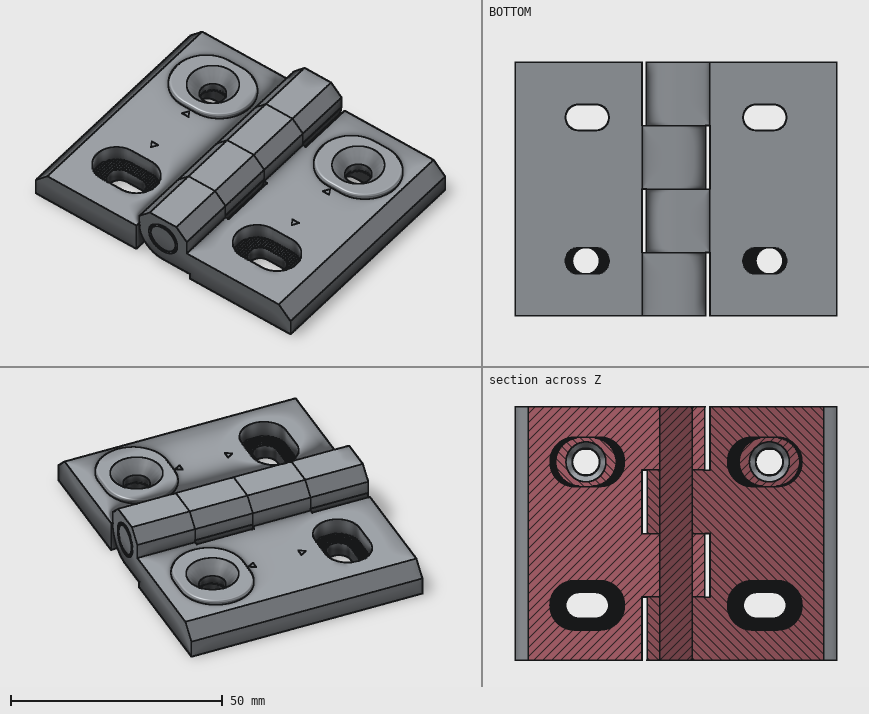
import cadquery as cq
import math


HINGE_LENGTH = 76.0
HINGE_WIDTH = 60.0
HINGE_HEIGHT = 15.0
LEAF_THICKNESS = 8.0
LEAF_CHAMFER = 3.5
LEAF_INNER_X = 8.0
HALF_LENGTH = HINGE_LENGTH / 2
HALF_WIDTH = HINGE_WIDTH / 2

KNUCKLE_COUNT = 4
KNUCKLE_LENGTH = HINGE_WIDTH / KNUCKLE_COUNT
KNUCKLE_HALF_WIDTH = 7.1
KNUCKLE_RADIUS = 7.0
KNUCKLE_CHAMFER = 3.1
KNUCKLE_BOTTOM_Z = 1.5
PIN_Z = KNUCKLE_BOTTOM_Z + KNUCKLE_RADIUS

PIN_RADIUS = 3.95
PIN_CHAMFER = 0.3
PIN_HOLE_CHAMFER = 0.3

POCKET_X = 21.0
POCKET_Y = 16.95
POCKET_LENGTH = 17.5
POCKET_WIDTH = 11.55
POCKET_FLOOR_Z = 3.5
SLOT_LENGTH = 10.2
SLOT_WIDTH = 6.1

TOOTH_PITCH = 0.7
TOOTH_HEIGHT = TOOTH_PITCH / 2
TOOTH_COUNT = math.ceil(POCKET_LENGTH / TOOTH_PITCH)

MARK_TIP_Y = 7.45
MARK_BASE_Y = 5.85
MARK_HALF_WIDTH = 1.0
MARK_DEPTH = 0.1

FLANGE_LENGTH = 22.0
FLANGE_WIDTH = 18.0
FLANGE_HEIGHT = 1.1
FLANGE_FILLET = 0.9
PLUG_LENGTH = 14.45
SCREW_HOLE_RADIUS = 3.2
COUNTERSINK_RADIUS = 6.2
COUNTERSINK_DEPTH = COUNTERSINK_RADIUS - SCREW_HOLE_RADIUS
LEFT_BUSHING_SHIFT = -0.3
RIGHT_BUSHING_SHIFT = LEFT_BUSHING_SHIFT + 2 * TOOTH_PITCH

LEFT = -1
RIGHT = 1


def along_y(profile, y_start, length):
    """Extrude an XZ profile toward +Y from y_start."""
    return profile.extrude(-length).translate((0, y_start, 0))


def stadium(center_x, center_y, z_bottom, length, width, height):
    return (
        cq.Workplane("XY", origin=(center_x, center_y, z_bottom))
        .slot2D(length, width)
        .extrude(height)
    )


def plate(side):
    """Leaf without knuckles: a slab with one chamfered outer edge."""
    profile = (
        cq.Workplane("XZ")
        .moveTo(side * LEAF_INNER_X, 0)
        .lineTo(side * HALF_LENGTH, 0)
        .lineTo(side * HALF_LENGTH, LEAF_THICKNESS - LEAF_CHAMFER)
        .lineTo(side * (HALF_LENGTH - LEAF_CHAMFER), LEAF_THICKNESS)
        .lineTo(side * LEAF_INNER_X, LEAF_THICKNESS)
        .close()
    )
    return along_y(profile, -HALF_WIDTH, HINGE_WIDTH)


def knuckle(side, index):
    """Knuckle with the web that joins it to its leaf; index counts from the -Y end."""
    arc_offset = KNUCKLE_RADIUS * math.sqrt(0.5)
    shoulder_z = HINGE_HEIGHT - KNUCKLE_CHAMFER
    top_half_width = KNUCKLE_HALF_WIDTH - KNUCKLE_CHAMFER
    profile = (
        cq.Workplane("XZ")
        .moveTo(side * LEAF_INNER_X, KNUCKLE_BOTTOM_Z)
        .lineTo(side * LEAF_INNER_X, LEAF_THICKNESS)
        .lineTo(side * KNUCKLE_HALF_WIDTH, LEAF_THICKNESS)
        .lineTo(side * KNUCKLE_HALF_WIDTH, shoulder_z)
        .lineTo(side * top_half_width, HINGE_HEIGHT)
        .lineTo(-side * top_half_width, HINGE_HEIGHT)
        .lineTo(-side * KNUCKLE_HALF_WIDTH, shoulder_z)
        .lineTo(-side * KNUCKLE_HALF_WIDTH, PIN_Z)
        .lineTo(-side * KNUCKLE_RADIUS, PIN_Z)
        .threePointArc((-side * arc_offset, PIN_Z - arc_offset), (0, KNUCKLE_BOTTOM_Z))
        .close()
    )
    return along_y(profile, -HALF_WIDTH + index * KNUCKLE_LENGTH, KNUCKLE_LENGTH)


def pin_bore():
    """Solid of the pin hole, widened by a chamfer at both ends of the hinge."""
    wide_radius = PIN_RADIUS + PIN_HOLE_CHAMFER
    inner_y = HALF_WIDTH - PIN_HOLE_CHAMFER
    return (
        cq.Workplane("XY")
        .moveTo(0, -HALF_WIDTH)
        .lineTo(wide_radius, -HALF_WIDTH)
        .lineTo(PIN_RADIUS, -inner_y)
        .lineTo(PIN_RADIUS, inner_y)
        .lineTo(wide_radius, HALF_WIDTH)
        .lineTo(0, HALF_WIDTH)
        .close()
        .revolve(360, (0, 0, 0), (0, 1, 0))
        .translate((0, 0, PIN_Z))
    )


def floor_teeth(pocket_x, pocket_y):
    """Row of toothed ridges along Y, standing on the floor of a pocket."""
    first_x = pocket_x - TOOTH_COUNT * TOOTH_PITCH / 2
    profile = cq.Workplane("XZ").moveTo(first_x, 0).lineTo(first_x, POCKET_FLOOR_Z)
    for index in range(TOOTH_COUNT):
        tooth_x = first_x + index * TOOTH_PITCH
        profile = profile.lineTo(tooth_x + TOOTH_PITCH / 2, POCKET_FLOOR_Z + TOOTH_HEIGHT)
        profile = profile.lineTo(tooth_x + TOOTH_PITCH, POCKET_FLOOR_Z)
    profile = profile.lineTo(first_x + TOOTH_COUNT * TOOTH_PITCH, 0).close()
    return along_y(profile, pocket_y - POCKET_WIDTH, 2 * POCKET_WIDTH)


def pocket(pocket_x, pocket_y):
    """Material removed by one toothed pocket and the slot through its floor."""
    depth = LEAF_THICKNESS - POCKET_FLOOR_Z
    recess = stadium(pocket_x, pocket_y, POCKET_FLOOR_Z, POCKET_LENGTH, POCKET_WIDTH, depth)
    recess = recess.cut(floor_teeth(pocket_x, pocket_y))
    slot = stadium(pocket_x, pocket_y, 0, SLOT_LENGTH, SLOT_WIDTH, LEAF_THICKNESS)
    return recess.union(slot)


def mark(center_x, y_direction):
    """Engraved triangle that points away from the middle of the leaf."""
    return (
        cq.Workplane("XY", origin=(center_x, 0, LEAF_THICKNESS))
        .moveTo(-MARK_HALF_WIDTH, y_direction * MARK_BASE_Y)
        .lineTo(MARK_HALF_WIDTH, y_direction * MARK_BASE_Y)
        .lineTo(0, y_direction * MARK_TIP_Y)
        .close()
        .extrude(-MARK_DEPTH)
    )


def leaf(side, first_knuckle):
    """Hinge leaf on the given side, carrying every second knuckle from first_knuckle on."""
    body = plate(side)
    for index in range(first_knuckle, KNUCKLE_COUNT, 2):
        body = body.union(knuckle(side, index))
    body = body.cut(pin_bore())
    for y_direction in (-1, 1):
        body = body.cut(pocket(side * POCKET_X, y_direction * POCKET_Y))
        body = body.cut(mark(side * POCKET_X, y_direction))
    return body


def hinge_pin():
    return (
        cq.Workplane("XZ", origin=(0, -HALF_WIDTH, PIN_Z))
        .circle(PIN_RADIUS)
        .extrude(-HINGE_WIDTH)
        .edges("%CIRCLE")
        .chamfer(PIN_CHAMFER)
    )


def screw_hole(center_x, top_z):
    """Countersunk screw hole from top_z down to the underside of the leaf."""
    return (
        cq.Workplane("XZ")
        .lineTo(SCREW_HOLE_RADIUS, 0)
        .lineTo(SCREW_HOLE_RADIUS, top_z - COUNTERSINK_DEPTH)
        .lineTo(COUNTERSINK_RADIUS, top_z)
        .lineTo(0, top_z)
        .close()
        .revolve(360, (0, 0, 0), (0, 1, 0))
        .translate((center_x, POCKET_Y, 0))
    )


def bushing(side, shift):
    """Countersunk bushing whose toothed plug sits in the +Y pocket of a leaf."""
    pocket_x = side * POCKET_X
    center_x = pocket_x + shift
    flange = stadium(center_x, POCKET_Y, LEAF_THICKNESS, FLANGE_LENGTH, FLANGE_WIDTH, FLANGE_HEIGHT)
    flange = flange.faces(">Z").edges().fillet(FLANGE_FILLET)
    plug_height = LEAF_THICKNESS - POCKET_FLOOR_Z
    plug = stadium(center_x, POCKET_Y, POCKET_FLOOR_Z, PLUG_LENGTH, POCKET_WIDTH, plug_height)
    plug = plug.cut(floor_teeth(pocket_x, POCKET_Y))
    return flange.union(plug).cut(screw_hole(center_x, LEAF_THICKNESS + FLANGE_HEIGHT))


left_leaf = leaf(LEFT, 1)
right_leaf = leaf(RIGHT, 0)
pin = hinge_pin()
left_bushing = bushing(LEFT, LEFT_BUSHING_SHIFT)
right_bushing = bushing(RIGHT, RIGHT_BUSHING_SHIFT)

result = cq.Compound.makeCompound(
    [
        left_leaf.val(),
        right_leaf.val(),
        pin.val(),
        left_bushing.val(),
        right_bushing.val(),
    ]
)